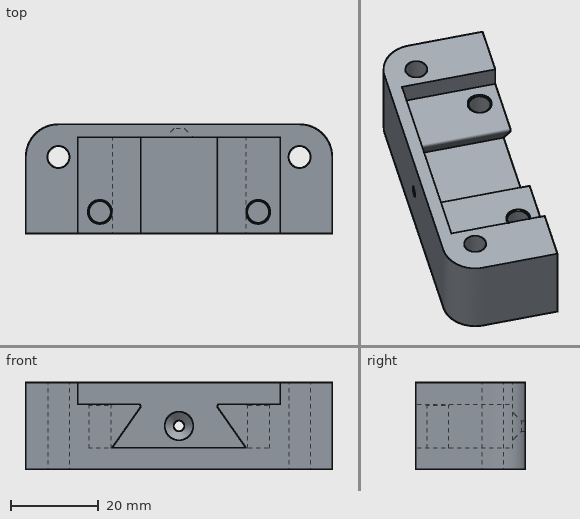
import cadquery as cq
import math

length = 70.0
depth = 25.0
height = 19.9
corner_radius = 7.5

back_wall = 3.0
pocket_depth = depth - back_wall
pocket_width = 46.2
step_z = height - 5.0
floor_z = 5.0

dovetail_floor_width = 30.5
dovetail_angle = 55.0
lip_radius = 0.5

mount_diameter = 5.0

ledge_hole_spacing = 36.1
ledge_hole_y = 5.0
ledge_hole_diameter = 5.0
ledge_hole_depth = 9.95
ledge_hole_chamfer = 0.3

screw_z = height / 2
screw_diameter = 2.4
countersink_diameter = 6.5
countersink_angle = 90.0


def make_block():
    block = cq.Workplane("XY").box(length, depth, height, centered=(True, False, False))
    return block.edges("|Z and >Y").fillet(corner_radius)


def make_pocket():
    """Wide step above a dovetail channel."""
    return cq.Workplane("XY").box(
        pocket_width, pocket_depth, height - step_z, centered=(True, False, False)
    ).translate((0, 0, step_z))


def make_dovetail():
    """Channel that narrows upwards to the ledge level."""
    floor_half = dovetail_floor_width / 2
    throat_half = floor_half - (step_z - floor_z) / math.tan(math.radians(dovetail_angle))
    outline = [
        (-floor_half, floor_z),
        (floor_half, floor_z),
        (throat_half, step_z),
        (-throat_half, step_z),
    ]
    return cq.Workplane("XZ").polyline(outline).close().extrude(-pocket_depth)


def round_lips(body):
    """Round the sharp ledge edges along the dovetail."""
    reach = dovetail_floor_width / 2
    margin = 0.7
    lip_box = cq.selectors.BoxSelector(
        (-reach, -margin, step_z - margin), (reach, depth, step_z + margin)
    )
    return body.edges("|Y").edges(lip_box).fillet(lip_radius)


def make_mount_holes():
    mount_x = length / 2 - corner_radius
    mount_y = depth - corner_radius
    points = [(-mount_x, mount_y), (mount_x, mount_y)]
    return cq.Workplane("XY").pushPoints(points).circle(mount_diameter / 2).extrude(height)


def make_ledge_hole(x):
    bottom = cq.Workplane("XY", origin=(x, ledge_hole_y, step_z - ledge_hole_depth))
    hole = bottom.circle(ledge_hole_diameter / 2).extrude(ledge_hole_depth)
    rim_radius = ledge_hole_diameter / 2 + ledge_hole_chamfer
    rim = cq.Solid.makeCone(
        rim_radius,
        ledge_hole_diameter / 2,
        ledge_hole_chamfer,
        pnt=cq.Vector(x, ledge_hole_y, step_z),
        dir=cq.Vector(0, 0, -1),
    )
    return hole.union(cq.Workplane(rim))


def make_screw_hole():
    screw_radius = screw_diameter / 2
    sink_radius = countersink_diameter / 2
    sink_depth = (sink_radius - screw_radius) / math.tan(math.radians(countersink_angle / 2))
    wall_face = cq.Vector(0, pocket_depth, screw_z)
    inward = cq.Vector(0, 1, 0)
    shank = cq.Solid.makeCylinder(screw_radius, back_wall, wall_face, inward)
    sink = cq.Solid.makeCone(sink_radius, screw_radius, sink_depth, wall_face, inward)
    return cq.Workplane(shank).union(cq.Workplane(sink))


result = round_lips(make_block().cut(make_pocket()).cut(make_dovetail()))
result = result.cut(make_mount_holes()).cut(make_screw_hole())
for side in (-1, 1):
    result = result.cut(make_ledge_hole(side * ledge_hole_spacing / 2))